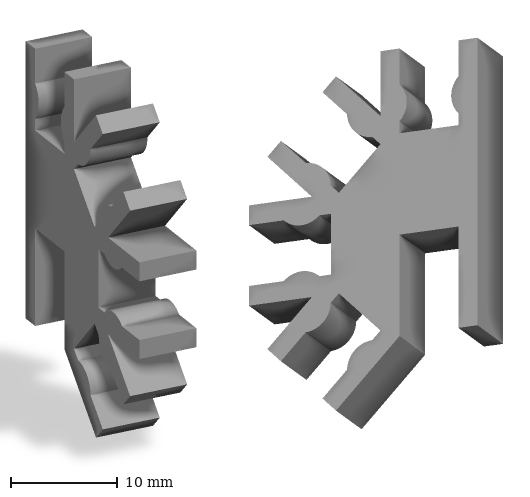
import cadquery as cq
import math

height = 34.88
thickness = 6.0

slot_width = 6.0
arm_thickness = 1.95
floor_distance = 10.0
socket_angles = (90, 45, 0, -45)

bump_distance = 13.0
bump_half_length = 1.8
bump_rise = 0.73

slot_half = slot_width / 2
outer_half = slot_half + arm_thickness
diagonal = math.sqrt(0.5)
reach = (height - outer_half * diagonal) / (1 + diagonal)

plate_bottom = -(outer_half / diagonal + slot_half)


def box_between(x_min, x_max, z_min, z_max):
    """Full-thickness block between the given X and Z limits, centred on Y."""
    return cq.Workplane("XY").box(x_max - x_min, thickness, z_max - z_min).translate(
        ((x_min + x_max) / 2, 0, (z_min + z_max) / 2)
    )


def turn(body, angle):
    """Swing a body lying along +X up toward +Z by the given angle."""
    return body.rotate((0, 0, 0), (0, -1, 0), angle)


def bump(side):
    """Bump on the +Z (side = 1) or -Z (side = -1) arm of a socket along +X."""
    face = side * slot_half
    start = (bump_distance - bump_half_length, face)
    crest = (bump_distance, face - side * bump_rise)
    end = (bump_distance + bump_half_length, face)
    return (
        cq.Workplane("XZ")
        .moveTo(*start)
        .threePointArc(crest, end)
        .close()
        .extrude(thickness / 2, both=True)
    )


result = box_between(-outer_half, -slot_half, plate_bottom, reach)
for angle in socket_angles:
    block = box_between(0, reach, -outer_half, outer_half)
    result = result.union(turn(block, angle))

for angle in socket_angles:
    slot = box_between(floor_distance, reach, -slot_half, slot_half)
    result = result.cut(turn(slot, angle))

result = result.cut(box_between(-slot_half, slot_half, plate_bottom, 0))

for angle in socket_angles:
    for side in (-1, 1):
        result = result.union(turn(bump(side), angle))